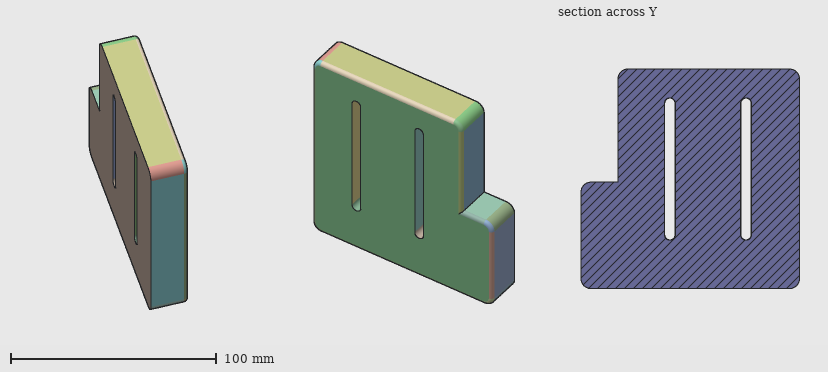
import cadquery as cq

width = 106.5
thickness = 19.0
height = 107.0
corner_radius = 5.0
back_round = 2.0

notch_width = 18.0
shoulder_height = 52.0

slot_width = 5.0
slot_bottom = 23.8
slot_top = 92.8
slot_centers_x = (43.3, 80.4)


def make_plate():
    """L-shaped plate with its front face on Y = 0 and rounded outer corners."""
    plate = (
        cq.Workplane("XZ")
        .moveTo(0, 0)
        .lineTo(width, 0)
        .lineTo(width, height)
        .lineTo(notch_width, height)
        .lineTo(notch_width, shoulder_height)
        .lineTo(0, shoulder_height)
        .close()
        .extrude(-thickness)
    )
    margin = 1.1
    inner_corner = cq.selectors.BoxSelector(
        (notch_width - margin, -margin, shoulder_height - margin),
        (notch_width + margin, thickness + margin, shoulder_height + margin),
    )
    all_corners = cq.selectors.ParallelDirSelector(cq.Vector(0, 1, 0))
    outer_corners = cq.selectors.SubtractSelector(all_corners, inner_corner)
    plate = plate.edges(outer_corners).fillet(corner_radius)
    return plate.faces(">Y").edges().fillet(back_round)


def make_slots():
    """Cutters for the round-ended slots."""
    slot_middle_z = (slot_bottom + slot_top) / 2
    return (
        cq.Workplane("XZ")
        .pushPoints([(x, slot_middle_z) for x in slot_centers_x])
        .slot2D(slot_top - slot_bottom, slot_width, angle=90)
        .extrude(-thickness)
    )


result = make_plate().cut(make_slots())